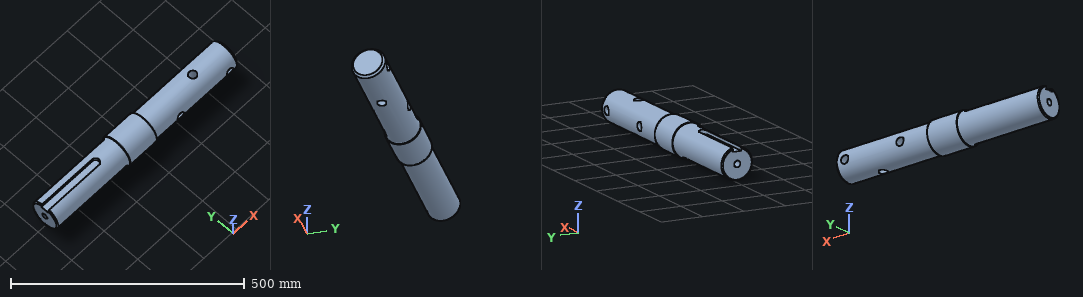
import cadquery as cq
import math

total_length = 558.0
collar_start = 221.0
collar_length = 83.0
keyed_diameter = 75.0
collar_diameter = 82.5
pinned_diameter = 76.0

keyed_end_chamfer = 3.0
pinned_end_chamfer = 5.0
collar_chamfer = 1.0
shoulder_fillet = 1.5

key_width = 20.0
key_length = 166.0
key_floor_height = 28.0

pin_hole_diameter = 20.0
pin_hole_spacing = 76.0
first_pin_hole = 380.0
pin_hole_directions = ["Y", "Z", "Y"]

center_hole_diameter = 14.5
center_hole_depth = 33.5
drill_point_angle = 118.0

collar_end = collar_start + collar_length


def cylinder_along_x(start, end, diameter):
    return cq.Workplane("YZ", origin=(start, 0, 0)).circle(diameter / 2).extrude(end - start)


def shoulder(face_x, shaft_diameter, outward):
    """Concave fillet ring joining a shaft to a collar face."""
    shaft_radius = shaft_diameter / 2
    fillet_top = shaft_radius + shoulder_fillet
    fillet_end = face_x + outward * shoulder_fillet
    arc_offset = shoulder_fillet * (1 - 0.5 ** 0.5)
    return (
        cq.Workplane("XY")
        .moveTo(face_x, 0)
        .lineTo(face_x, fillet_top)
        .threePointArc(
            (face_x + outward * arc_offset, shaft_radius + arc_offset),
            (fillet_end, shaft_radius),
        )
        .lineTo(fillet_end, 0)
        .close()
        .revolve(360, (0, 0, 0), (1, 0, 0))
    )


def shaft_body():
    keyed = cylinder_along_x(0, collar_start, keyed_diameter).faces("<X").chamfer(keyed_end_chamfer)
    collar = cylinder_along_x(collar_start, collar_end, collar_diameter).edges().chamfer(collar_chamfer)
    pinned = cylinder_along_x(collar_end, total_length, pinned_diameter)
    pinned = pinned.faces(">X").chamfer(pinned_end_chamfer)
    body = keyed.union(collar).union(pinned)
    body = body.union(shoulder(collar_start, keyed_diameter, -1))
    return body.union(shoulder(collar_end, pinned_diameter, 1))


def keyway():
    end_radius = key_width / 2
    straight_length = key_length - end_radius
    plane = cq.Workplane("XY", origin=(0, 0, key_floor_height))
    slot = plane.rect(2 * straight_length, key_width).extrude(collar_diameter)
    return slot.union(plane.center(straight_length, 0).circle(end_radius).extrude(collar_diameter))


def pin_hole(x, direction):
    plane = {"Y": "XZ", "Z": "XY"}[direction]
    return (
        cq.Workplane(plane, origin=(x, 0, 0))
        .circle(pin_hole_diameter / 2)
        .extrude(collar_diameter, both=True)
    )


def center_hole():
    radius = center_hole_diameter / 2
    point_length = radius / math.tan(math.radians(drill_point_angle / 2))
    profile = [(0, 0), (0, radius), (center_hole_depth, radius), (center_hole_depth + point_length, 0)]
    return cq.Workplane("XY").polyline(profile).close().revolve(360, (0, 0, 0), (1, 0, 0))


result = shaft_body().cut(keyway()).cut(center_hole())
for index, direction in enumerate(pin_hole_directions):
    result = result.cut(pin_hole(first_pin_hole + index * pin_hole_spacing, direction))